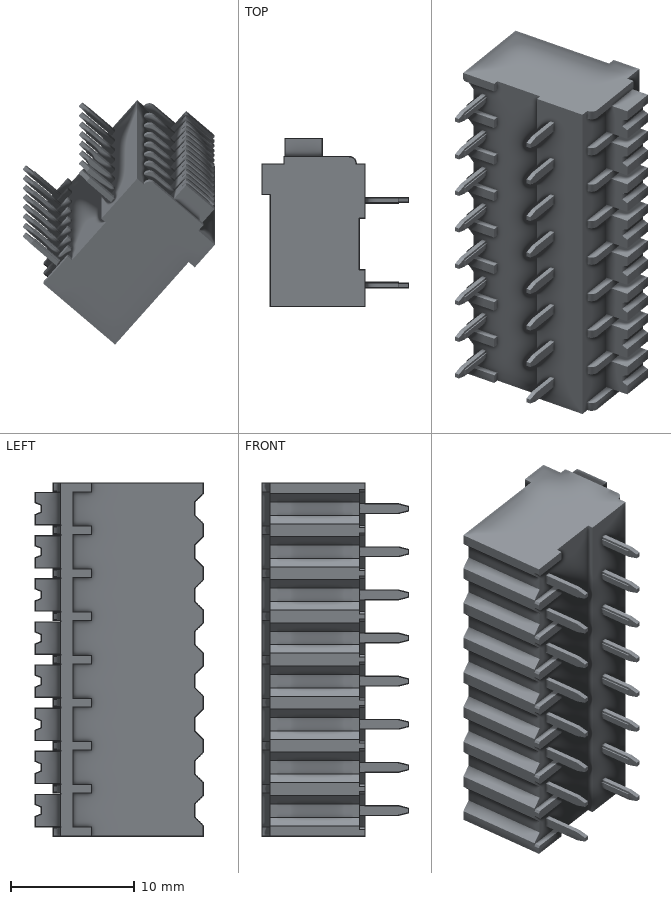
import cadquery as cq

LENGTH = 28.7
POLES = 8
PITCH = 3.5
SEAT_X = 8.38
PIN_END_X = 11.9
TAB_TOP_Y = 13.65
END_MARGIN = (LENGTH - (POLES - 1) * PITCH) / 2

HOUSING_X = 0.65
RAIL_Y = 10.6
SHOULDER_Y = 11.6
RECESS_START_Y = 3.0
RECESS_END_Y = 7.18
RECESS_DEPTH = 0.45
FLOOR_X = SEAT_X - RECESS_DEPTH

RIB_BOTTOM_Y = 9.1
RIB_WIDTH = 0.7
END_RIB_WIDTH = 0.75
RIDGE_START_X = 1.78
RIDGE_END_X = 7.65
RIDGE_TOP_Y = 12.2
RIDGE_RADIUS = 0.57
RIDGE_CHAMFER = 0.1
RIDGE_CHAMFER_START_Y = 11.9

TAB_START_X = 1.87
TAB_END_X = 4.9
TAB_WIDTH = 2.65
TAB_NOTCH_DEPTH = 0.5
TAB_NOTCH_TOP_WIDTH = 0.98
TAB_NOTCH_FLOOR_WIDTH = 0.57

GROOVE_DEPTH = 0.7
GROOVE_TOP_WIDTH = 2.47
GROOVE_FLOOR_WIDTH = 1.1

CHANNEL_WIDTH = 3.07
CHANNEL_INNER_WIDTH = 2.7
CHANNEL_TAPER_DEPTH = 0.11

PIN_ROWS = ((1.72, 1), (8.67, -1))
PIN_WIDTH = 0.8
PIN_THICKNESS = 0.37
PIN_TIP_LENGTH = 0.83
PIN_TIP_WIDTH = 0.37
BEAD_WIDTH = 0.4
BEAD_HEIGHT = 0.1
PIN_TAPER_X = PIN_END_X - PIN_TIP_LENGTH

pole_positions = [END_MARGIN + i * PITCH for i in range(POLES)]
divider_positions = [z + PITCH / 2 for z in pole_positions[:-1]]


def block(x_range, y_range, z_range):
    """Rectangular block spanning the given ranges."""
    size = [end - start for start, end in (x_range, y_range, z_range)]
    corner = (x_range[0], y_range[0], z_range[0])
    return cq.Workplane("XY").box(*size, centered=False).translate(corner)


def span(center, width):
    return (center - width / 2, center + width / 2)


def prism_along_x(yz_points, x_start, x_end):
    return cq.Workplane("YZ", origin=(x_start, 0, 0)).polyline(yz_points).close().extrude(x_end - x_start)


def housing():
    """Main cross-section, with the side rail and the recess in the seating face."""
    outline = [
        (HOUSING_X, 0),
        (SEAT_X, 0),
        (SEAT_X, RECESS_START_Y),
        (FLOOR_X, RECESS_START_Y),
        (FLOOR_X, RECESS_END_Y),
        (SEAT_X, RECESS_END_Y),
        (SEAT_X, SHOULDER_Y),
        (0, SHOULDER_Y),
        (0, RAIL_Y),
        (HOUSING_X, RAIL_Y),
    ]
    return cq.Workplane("XY").polyline(outline).close().extrude(LENGTH)


def rib_and_ridge(z_range):
    """Rib hanging below the rail, and the ridge on the shoulder with chamfered upper corners."""
    rib = block((0, HOUSING_X), (RIB_BOTTOM_Y, RAIL_Y), z_range)
    ridge = block((RIDGE_START_X, RIDGE_END_X), (SHOULDER_Y, RIDGE_TOP_Y), z_range)
    ridge = ridge.edges(">X and >Y").fillet(RIDGE_RADIUS)
    for z_edge, inward in zip(z_range, (1, -1)):
        if 0 < z_edge < LENGTH:
            ridge = ridge.cut(ridge_corner(z_edge, inward))
    return rib, ridge


def ridge_corner(z_edge, inward):
    """Wedge removed from one upper corner of a ridge."""
    outline = [
        (RIDGE_START_X, z_edge),
        (RIDGE_START_X + RIDGE_CHAMFER, z_edge),
        (RIDGE_START_X, z_edge + inward * RIDGE_CHAMFER),
    ]
    plane = cq.Plane(origin=(0, RIDGE_TOP_Y, 0), xDir=(1, 0, 0), normal=(0, -1, 0))
    return cq.Workplane(plane).polyline(outline).close().extrude(RIDGE_TOP_Y - RIDGE_CHAMFER_START_Y)


def latch_tab(z):
    tab = block((TAB_START_X, TAB_END_X), (SHOULDER_Y, TAB_TOP_Y), span(z, TAB_WIDTH))
    notch_floor_y = TAB_TOP_Y - TAB_NOTCH_DEPTH
    notch = [
        (TAB_TOP_Y, z - TAB_NOTCH_TOP_WIDTH / 2),
        (notch_floor_y, z - TAB_NOTCH_FLOOR_WIDTH / 2),
        (notch_floor_y, z + TAB_NOTCH_FLOOR_WIDTH / 2),
        (TAB_TOP_Y, z + TAB_NOTCH_TOP_WIDTH / 2),
    ]
    return tab.cut(prism_along_x(notch, TAB_START_X, TAB_END_X))


def front_groove(z):
    outline = [
        (0, z - GROOVE_TOP_WIDTH / 2),
        (GROOVE_DEPTH, z - GROOVE_FLOOR_WIDTH / 2),
        (GROOVE_DEPTH, z + GROOVE_FLOOR_WIDTH / 2),
        (0, z + GROOVE_TOP_WIDTH / 2),
    ]
    return prism_along_x(outline, HOUSING_X, SEAT_X)


def pin_channel(z):
    """Channel in the seating face, tapered at its mouth, leading into the recess."""
    outline = [
        (0, z - CHANNEL_WIDTH / 2),
        (CHANNEL_TAPER_DEPTH, z - CHANNEL_INNER_WIDTH / 2),
        (RECESS_START_Y, z - CHANNEL_INNER_WIDTH / 2),
        (RECESS_START_Y, z + CHANNEL_INNER_WIDTH / 2),
        (CHANNEL_TAPER_DEPTH, z + CHANNEL_INNER_WIDTH / 2),
        (0, z + CHANNEL_WIDTH / 2),
    ]
    return prism_along_x(outline, FLOOR_X, SEAT_X)


def solder_pin(y, bead_side, z):
    """Flat pin with a tapered tip and a narrow bead along one face."""
    outline = [
        (FLOOR_X, z - PIN_WIDTH / 2),
        (PIN_TAPER_X, z - PIN_WIDTH / 2),
        (PIN_END_X, z - PIN_TIP_WIDTH / 2),
        (PIN_END_X, z + PIN_TIP_WIDTH / 2),
        (PIN_TAPER_X, z + PIN_WIDTH / 2),
        (FLOOR_X, z + PIN_WIDTH / 2),
    ]
    profile = cq.Workplane("XZ", origin=(0, y, 0)).polyline(outline).close()
    blade = profile.extrude(PIN_THICKNESS / 2, both=True)
    bead_top = y + bead_side * (PIN_THICKNESS / 2 + BEAD_HEIGHT)
    bead = block((FLOOR_X, PIN_TAPER_X), sorted((y, bead_top)), span(z, BEAD_WIDTH))
    return blade.union(bead)


result = housing()

rib_ranges = [span(z, RIB_WIDTH) for z in divider_positions]
rib_ranges += [(0, END_RIB_WIDTH), (LENGTH - END_RIB_WIDTH, LENGTH)]
for z_range in rib_ranges:
    for piece in rib_and_ridge(z_range):
        result = result.union(piece)

for z in pole_positions:
    result = result.union(latch_tab(z))
    result = result.cut(front_groove(z)).cut(pin_channel(z))

for z in pole_positions:
    for row_y, bead_side in PIN_ROWS:
        result = result.union(solder_pin(row_y, bead_side, z))